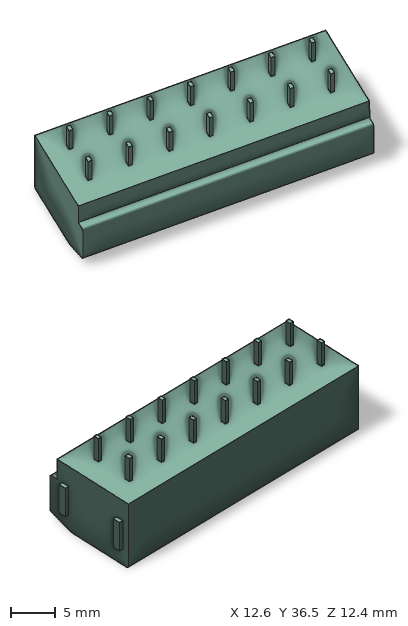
import cadquery as cq

overall_length = 36.5
overall_width = 12.6
overall_height = 12.4
pin_height = 3.3
nub_depth = 0.5
body_length = overall_length - nub_depth
body_height = overall_height - pin_height
ledge_width = 1.15
ledge_drop = 2.85
slope_width = 3.45
slope_height = 1.2
edge_radius = 0.3

pin_size_x = 0.7
pin_size_y = 0.47
pin_pitch = 5.0
pins_per_row = 7
row_count = 2
first_pin_x = 3.18
first_pin_y = 2.8

nub_width = 1.0
nub_height = 4.0
nub_spacing = 8.7
first_nub_x = 1.4


def make_body():
    """Housing with a ledge and a sloped lower edge along its +X side."""
    top_width = overall_width - ledge_width
    ledge_z = body_height - ledge_drop
    profile = [
        (0, 0),
        (overall_width - slope_width, 0),
        (overall_width, slope_height),
        (overall_width, ledge_z),
        (top_width, ledge_z),
        (top_width, body_height),
        (0, body_height),
    ]
    body = cq.Workplane("XZ").polyline(profile).close().extrude(-body_length)
    lower_left_edge = body.edges("|Y").edges("<X").edges("<Z")
    body = lower_left_edge.fillet(edge_radius)
    return body.edges("|Y").edges(">X").fillet(edge_radius)


def add_pins(body):
    """Rectangular pins on a square grid."""
    pins = cq.Workplane("XY", origin=(0, 0, body_height))
    centers = [
        (first_pin_x + row * pin_pitch, first_pin_y + index * pin_pitch)
        for row in range(row_count)
        for index in range(pins_per_row)
    ]
    return body.union(pins.pushPoints(centers).rect(pin_size_x, pin_size_y).extrude(pin_height))


def add_nubs(body):
    """Two upright rectangular nubs projecting from the rear face."""
    nub_center_z = body_height - ledge_drop - nub_height / 2
    rear_face = cq.Workplane("XZ", origin=(0, body_length, nub_center_z))
    centers = [(first_nub_x, 0), (first_nub_x + nub_spacing, 0)]
    return body.union(rear_face.pushPoints(centers).rect(nub_width, nub_height).extrude(-nub_depth))


result = add_nubs(add_pins(make_body()))